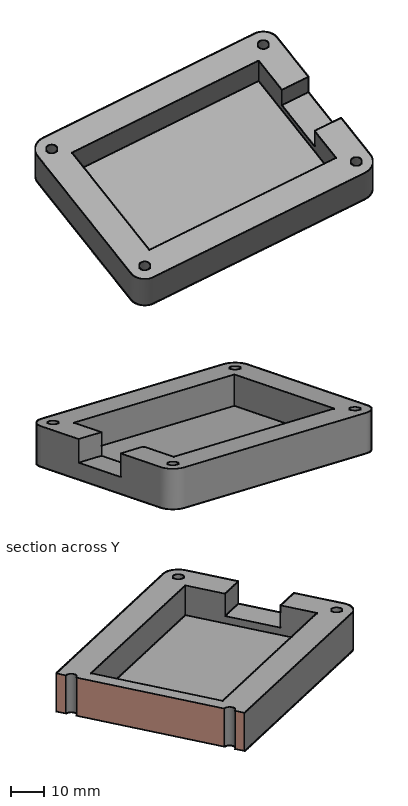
import cadquery as cq

width = 62.85
length = 85.3
height = 13.0
corner_radius = 5.0

wall = 9.5
pocket_depth = 10.0
pocket_width = width - 2 * wall
pocket_length = length - 2 * wall

notch_width = 18.5
notch_depth = 7.5
notch_center_x = 0.5

hole_diameter = 3.4
hole_spacing_x = width - 2 * corner_radius
hole_spacing_y = length - 2 * corner_radius


def rounded_block():
    block = cq.Workplane("XY").box(width, length, height, centered=(True, True, False))
    return block.edges("|Z").fillet(corner_radius)


def pocket():
    return (
        cq.Workplane("XY")
        .workplane(offset=height - pocket_depth)
        .rect(pocket_width, pocket_length)
        .extrude(pocket_depth)
    )


def wall_notch():
    return (
        cq.Workplane("XY")
        .workplane(offset=height - notch_depth)
        .center(notch_center_x, (length - wall) / 2)
        .rect(notch_width, wall)
        .extrude(notch_depth)
    )


def screw_holes():
    return (
        cq.Workplane("XY")
        .rect(hole_spacing_x, hole_spacing_y, forConstruction=True)
        .vertices()
        .circle(hole_diameter / 2)
        .extrude(height)
    )


result = rounded_block().cut(pocket()).cut(wall_notch()).cut(screw_holes())